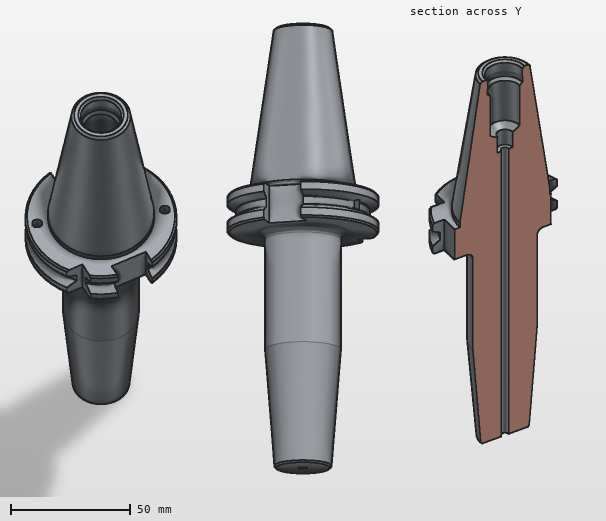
import cadquery as cq
import math

SPINDLE_END_Z = 68.4
NOSE_Z = -120.0

GAUGE_RADIUS = 44.45 / 2
TAPER_SLOPE = 7 / 24 / 2
SPINDLE_END_RADIUS = GAUGE_RADIUS - SPINDLE_END_Z * TAPER_SLOPE
SPINDLE_END_CHAMFER = 1.0

UNDERCUT_TOP_Z = -0.9
UNDERCUT_DEPTH = 0.2
UNDERCUT_RUN = 0.75

FLANGE_RADIUS = 63.55 / 2
FLANGE_TOP_Z = -3.2
FLANGE_BOTTOM_Z = -19.1
FLANGE_CHAMFER = 0.8
GROOVE_CENTER_Z = -11.1
GROOVE_FLOOR_RADIUS = 56.25 / 2
GROOVE_MOUTH_HALF_WIDTH = 3.9
GROOVE_FLANK_ANGLE = 30.0
GROOVE_FILLET = 0.4
EDGE_MARGIN = 0.1

SHANK_RADIUS = 16.0
SHANK_FILLET = 3.0
NOSE_RADIUS = 12.0
NOSE_CONE_ANGLE = 4.5
NOSE_CHAMFER = 0.8

DRIVE_SLOT_WIDTH = 16.1
DRIVE_SLOT_FLOOR_LEFT = 22.8
DRIVE_SLOT_FLOOR_RIGHT = 25.0
NOTCH_OFFSET = 18.5

DRILL_POINT_HALF_ANGLE = 59.0

COOLANT_CIRCLE_RADIUS = 27.0
COOLANT_ANGLES = (70.0, 250.0)
COOLANT_RADIUS = 2.1
COOLANT_BELOW_GROOVE_CENTER = 1.0
COOLANT_END_Z = GROOVE_CENTER_Z - COOLANT_BELOW_GROOVE_CENTER
COOLANT_PILOT_RADIUS = 1.0
COOLANT_PILOT_DEPTH = 1.0

MOUTH_RADIUS = 9.5
COUNTERBORE_RADIUS = 8.5
COUNTERBORE_DEPTH = 8.0
RELIEF_TOP_DEPTH = 5.4
RELIEF_RADIUS = 8.7
RELIEF_RUN = 0.8
STUD_HOLE_RADIUS = 7.2
STUD_HOLE_DEPTH = 30.0
PASSAGE_RADIUS = 3.7
PASSAGE_DEPTH = 40.0
NOSE_HOLE_RADIUS = 1.8


def make_body():
    """Outer shape, revolved about Z."""
    groove_depth = FLANGE_RADIUS - GROOVE_FLOOR_RADIUS
    floor_half = GROOVE_MOUTH_HALF_WIDTH - groove_depth * math.tan(math.radians(GROOVE_FLANK_ANGLE))
    taper_base_radius = GAUGE_RADIUS - UNDERCUT_TOP_Z * TAPER_SLOPE
    nose_slope = math.tan(math.radians(NOSE_CONE_ANGLE))
    cone_length = (SHANK_RADIUS - NOSE_RADIUS) / nose_slope
    fillet_turn = SHANK_FILLET * (1 - math.sqrt(0.5))
    profile = (
        cq.Workplane("XZ")
        .moveTo(0, SPINDLE_END_Z)
        .lineTo(SPINDLE_END_RADIUS - SPINDLE_END_CHAMFER, SPINDLE_END_Z)
        .lineTo(SPINDLE_END_RADIUS + SPINDLE_END_CHAMFER * TAPER_SLOPE, SPINDLE_END_Z - SPINDLE_END_CHAMFER)
        .lineTo(taper_base_radius, UNDERCUT_TOP_Z)
        .lineTo(taper_base_radius - UNDERCUT_DEPTH, UNDERCUT_TOP_Z - UNDERCUT_RUN)
        .lineTo(taper_base_radius - UNDERCUT_DEPTH, FLANGE_TOP_Z + UNDERCUT_RUN)
        .lineTo(taper_base_radius, FLANGE_TOP_Z)
        .lineTo(FLANGE_RADIUS - FLANGE_CHAMFER, FLANGE_TOP_Z)
        .lineTo(FLANGE_RADIUS, FLANGE_TOP_Z - FLANGE_CHAMFER)
        .lineTo(FLANGE_RADIUS, GROOVE_CENTER_Z + GROOVE_MOUTH_HALF_WIDTH)
        .lineTo(GROOVE_FLOOR_RADIUS, GROOVE_CENTER_Z + floor_half)
        .lineTo(GROOVE_FLOOR_RADIUS, GROOVE_CENTER_Z - floor_half)
        .lineTo(FLANGE_RADIUS, GROOVE_CENTER_Z - GROOVE_MOUTH_HALF_WIDTH)
        .lineTo(FLANGE_RADIUS, FLANGE_BOTTOM_Z + FLANGE_CHAMFER)
        .lineTo(FLANGE_RADIUS - FLANGE_CHAMFER, FLANGE_BOTTOM_Z)
        .lineTo(SHANK_RADIUS + SHANK_FILLET, FLANGE_BOTTOM_Z)
        .threePointArc(
            (SHANK_RADIUS + fillet_turn, FLANGE_BOTTOM_Z - fillet_turn),
            (SHANK_RADIUS, FLANGE_BOTTOM_Z - SHANK_FILLET),
        )
        .lineTo(SHANK_RADIUS, NOSE_Z + cone_length)
        .lineTo(NOSE_RADIUS + NOSE_CHAMFER * nose_slope, NOSE_Z + NOSE_CHAMFER)
        .lineTo(NOSE_RADIUS - NOSE_CHAMFER, NOSE_Z)
        .lineTo(0, NOSE_Z)
        .close()
    )
    body = profile.revolve(360, (0, 0, 0), (0, 1, 0))
    groove_corners = cq.selectors.BoxSelector(
        (-FLANGE_RADIUS, -FLANGE_RADIUS, GROOVE_CENTER_Z - floor_half - EDGE_MARGIN),
        (FLANGE_RADIUS, FLANGE_RADIUS, GROOVE_CENTER_Z + floor_half + EDGE_MARGIN),
    )
    return body.edges("%CIRCLE").edges(groove_corners).fillet(GROOVE_FILLET)


def make_bore():
    """Stepped axial bore, from the spindle end through to the nose."""
    mouth_depth = MOUTH_RADIUS - COUNTERBORE_RADIUS
    step_depth = COUNTERBORE_DEPTH + COUNTERBORE_RADIUS - STUD_HOLE_RADIUS
    point_length = (STUD_HOLE_RADIUS - PASSAGE_RADIUS) / math.tan(math.radians(DRILL_POINT_HALF_ANGLE))
    profile = (
        cq.Workplane("XZ")
        .moveTo(0, SPINDLE_END_Z)
        .lineTo(MOUTH_RADIUS, SPINDLE_END_Z)
        .lineTo(COUNTERBORE_RADIUS, SPINDLE_END_Z - mouth_depth)
        .lineTo(COUNTERBORE_RADIUS, SPINDLE_END_Z - RELIEF_TOP_DEPTH)
        .lineTo(RELIEF_RADIUS, SPINDLE_END_Z - RELIEF_TOP_DEPTH - RELIEF_RUN)
        .lineTo(RELIEF_RADIUS, SPINDLE_END_Z - COUNTERBORE_DEPTH + RELIEF_RUN)
        .lineTo(COUNTERBORE_RADIUS, SPINDLE_END_Z - COUNTERBORE_DEPTH)
        .lineTo(STUD_HOLE_RADIUS, SPINDLE_END_Z - step_depth)
        .lineTo(STUD_HOLE_RADIUS, SPINDLE_END_Z - STUD_HOLE_DEPTH)
        .lineTo(PASSAGE_RADIUS, SPINDLE_END_Z - STUD_HOLE_DEPTH - point_length)
        .lineTo(PASSAGE_RADIUS, SPINDLE_END_Z - PASSAGE_DEPTH)
        .lineTo(NOSE_HOLE_RADIUS, SPINDLE_END_Z - PASSAGE_DEPTH)
        .lineTo(NOSE_HOLE_RADIUS, NOSE_Z)
        .lineTo(0, NOSE_Z)
        .close()
    )
    return profile.revolve(360, (0, 0, 0), (0, 1, 0))


def flange_block(x_min, x_max, y_min, y_max):
    """Cutting block over the full height of the flange."""
    return (
        cq.Workplane("XY", origin=(0, 0, FLANGE_BOTTOM_Z))
        .moveTo(x_min, y_min)
        .lineTo(x_max, y_min)
        .lineTo(x_max, y_max)
        .lineTo(x_min, y_max)
        .close()
        .extrude(FLANGE_TOP_Z - FLANGE_BOTTOM_Z)
    )


def make_flange_cuts():
    """Two driving slots and the orientation notch."""
    half_slot = DRIVE_SLOT_WIDTH / 2
    left_slot = flange_block(-FLANGE_RADIUS, -DRIVE_SLOT_FLOOR_LEFT, -half_slot, half_slot)
    right_slot = flange_block(DRIVE_SLOT_FLOOR_RIGHT, FLANGE_RADIUS, -half_slot, half_slot)
    notch = flange_block(NOTCH_OFFSET, FLANGE_RADIUS, -FLANGE_RADIUS, -NOTCH_OFFSET)
    return left_slot.union(right_slot).union(notch)


def make_coolant_hole(angle):
    """Coolant hole sunk from the top of the flange into the V groove."""
    point_length = (COOLANT_RADIUS - COOLANT_PILOT_RADIUS) / math.tan(math.radians(DRILL_POINT_HALF_ANGLE))
    pilot_top_z = COOLANT_END_Z - point_length
    profile = (
        cq.Workplane("XZ")
        .moveTo(0, FLANGE_TOP_Z)
        .lineTo(COOLANT_RADIUS, FLANGE_TOP_Z)
        .lineTo(COOLANT_RADIUS, COOLANT_END_Z)
        .lineTo(COOLANT_PILOT_RADIUS, pilot_top_z)
        .lineTo(COOLANT_PILOT_RADIUS, pilot_top_z - COOLANT_PILOT_DEPTH)
        .lineTo(0, pilot_top_z - COOLANT_PILOT_DEPTH)
        .close()
    )
    hole = profile.revolve(360, (0, 0, 0), (0, 1, 0))
    return hole.translate((COOLANT_CIRCLE_RADIUS, 0, 0)).rotate((0, 0, 0), (0, 0, 1), angle)


result = make_body().cut(make_bore()).cut(make_flange_cuts())
for coolant_angle in COOLANT_ANGLES:
    result = result.cut(make_coolant_hole(coolant_angle))